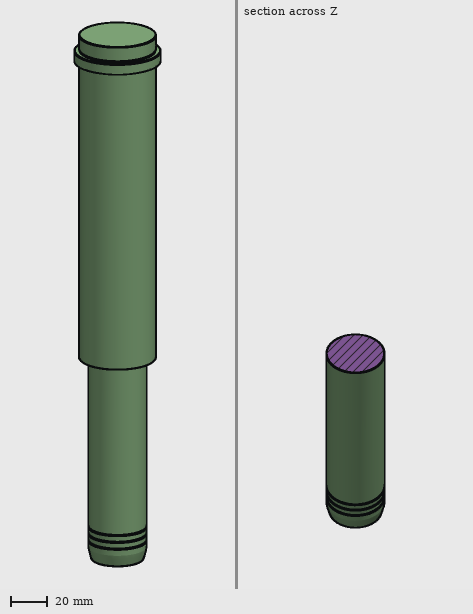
import cadquery as cq

total_length = 300.0
pin_radius = 16.0
body_radius = 21.0
flange_radius = 23.55
edge_break = 0.5

body_bottom = 115.0
flange_bottom = 285.0
flange_thickness = 6.0
flange_top = flange_bottom + flange_thickness

nose_length = 7.0
nose_end_radius = 14.5
nose_bulge = 0.15

groove_count = 3
groove_width = 1.0
groove_depth = 0.3
groove_pitch = 4.0
first_groove_bottom = 10.2

relief_width = 1.0
relief_depth = 0.3


def revolve_about_z(outline):
    """Full turn of a closed half outline, drawn in XZ, around the Z axis."""
    return outline.revolve(360, (0, 0, 0), (0, 1, 0))


def turned_blank():
    """Pin, body and flange with broken edges, revolved from one half outline."""
    nose_middle_radius = (nose_end_radius + pin_radius) / 2 + nose_bulge
    nose_middle_height = (edge_break + nose_length) / 2
    outline = (
        cq.Workplane("XZ")
        .lineTo(nose_end_radius - edge_break, 0)
        .lineTo(nose_end_radius, edge_break)
        .threePointArc((nose_middle_radius, nose_middle_height), (pin_radius, nose_length))
        .lineTo(pin_radius, body_bottom)
        .lineTo(body_radius - edge_break, body_bottom)
        .lineTo(body_radius, body_bottom + edge_break)
        .lineTo(body_radius, flange_bottom)
        .lineTo(flange_radius, flange_bottom)
        .lineTo(flange_radius, flange_top - edge_break)
        .lineTo(flange_radius - edge_break, flange_top)
        .lineTo(body_radius, flange_top)
        .lineTo(body_radius, total_length - edge_break)
        .lineTo(body_radius - edge_break, total_length)
        .lineTo(0, total_length)
        .close()
    )
    return revolve_about_z(outline)


def vee_ring(bottom):
    """Ring of V-shaped section that cuts one groove into the pin."""
    outline = (
        cq.Workplane("XZ")
        .moveTo(pin_radius, bottom)
        .lineTo(pin_radius - groove_depth, bottom + groove_width / 2)
        .lineTo(pin_radius, bottom + groove_width)
        .close()
    )
    return revolve_about_z(outline)


def relief_ring(radius, bottom):
    """Square-cornered ring that cuts one relief groove into a given radius."""
    outline = cq.Workplane("XY").workplane(offset=bottom).circle(radius).circle(radius - relief_depth)
    return outline.extrude(relief_width)


result = turned_blank()

for index in range(groove_count):
    result = result.cut(vee_ring(first_groove_bottom + index * groove_pitch))

reliefs = (
    (pin_radius, body_bottom - relief_width),
    (body_radius, flange_bottom - relief_width),
    (body_radius, flange_top),
)
for shoulder_radius, relief_bottom in reliefs:
    result = result.cut(relief_ring(shoulder_radius, relief_bottom))